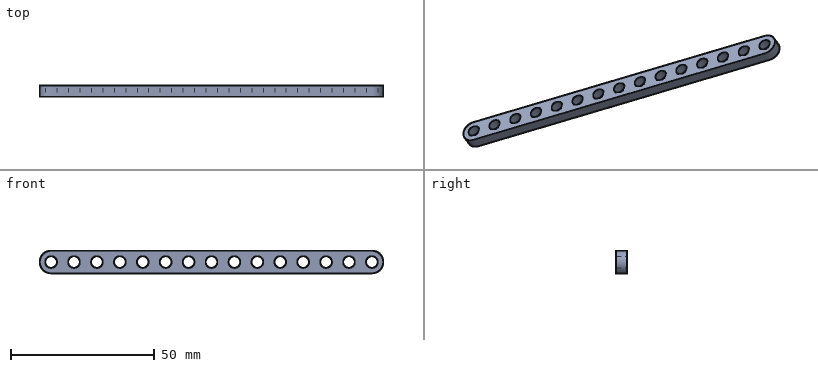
import cadquery as cq

length = 120
hole_count = 15

pitch = length / hole_count
height = pitch
thickness = pitch / 2
hole_diameter = pitch / 2


def make_bar():
    """Flat bar with fully rounded ends, its outline in the XZ plane."""
    return cq.Workplane("XZ").slot2D(length, height).extrude(thickness / 2, both=True)


def make_holes():
    """Row of evenly spaced cylinders running through the thickness."""
    return (
        cq.Workplane("XZ")
        .rarray(pitch, height, hole_count, 1)
        .circle(hole_diameter / 2)
        .extrude(thickness, both=True)
    )


result = make_bar().cut(make_holes())